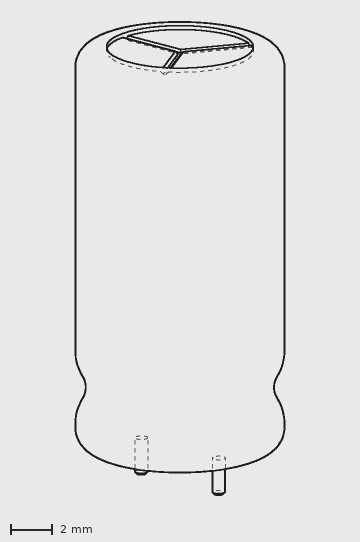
import cadquery as cq
import math

total_height = 21.8
can_diameter = 10.0
can_height = 20.0
can_radius = can_diameter / 2
lead_length = total_height - can_height

edge_radius = 1.0

crimp_height = 3.0
crimp_depth = 0.5
crimp_shoulder_radius = 2.0
crimp_neck_radius = 1.5

recess_radius = 3.5
recess_depth = 0.2
vent_count = 3
vent_top_width = 0.4
vent_floor_width = 0.13
vent_depth = 0.13
first_vent_angle = 60

lead_diameter = 0.6
lead_spacing = 5.0
lead_chamfer = 0.1


def arc_point(center, radius, angle):
    """Point on a circle in the radius-height plane, angle in radians."""
    return (center[0] + radius * math.cos(angle), center[1] + radius * math.sin(angle))


def make_can():
    """Revolve the can wall, with the crimp made of three tangent arcs."""
    radius_sum = crimp_shoulder_radius + crimp_neck_radius
    turn = math.acos(1 - crimp_depth / radius_sum)
    shoulder_offset = radius_sum * math.sin(turn)
    shoulder_x = can_radius - crimp_shoulder_radius
    lower_center = (shoulder_x, crimp_height - shoulder_offset)
    upper_center = (shoulder_x, crimp_height + shoulder_offset)

    profile = (
        cq.Workplane("XZ")
        .lineTo(can_radius, 0)
        .lineTo(*arc_point(lower_center, crimp_shoulder_radius, 0))
        .threePointArc(
            arc_point(lower_center, crimp_shoulder_radius, turn / 2),
            arc_point(lower_center, crimp_shoulder_radius, turn),
        )
        .threePointArc(
            (can_radius - crimp_depth, crimp_height),
            arc_point(upper_center, crimp_shoulder_radius, -turn),
        )
        .threePointArc(
            arc_point(upper_center, crimp_shoulder_radius, -turn / 2),
            arc_point(upper_center, crimp_shoulder_radius, 0),
        )
        .lineTo(can_radius, can_height)
        .lineTo(0, can_height)
        .close()
    )
    can = profile.revolve(360, (0, 0, 0), (0, 1, 0))
    return can.faces("<Z or >Z").edges().fillet(edge_radius)


def make_recess():
    return (
        cq.Workplane("XY", origin=(0, 0, can_height - recess_depth))
        .circle(recess_radius)
        .extrude(recess_depth)
    )


def make_vent_grooves():
    """Tapered grooves running from the center to the recess wall."""
    floor_z = can_height - recess_depth
    groove = (
        cq.Workplane("YZ", origin=(0, 0, floor_z))
        .moveTo(-vent_top_width / 2, 0)
        .lineTo(-vent_floor_width / 2, -vent_depth)
        .lineTo(vent_floor_width / 2, -vent_depth)
        .lineTo(vent_top_width / 2, 0)
        .close()
        .extrude(recess_radius)
    )
    grooves = cq.Workplane("XY")
    for index in range(vent_count):
        angle = first_vent_angle + index * 360 / vent_count
        grooves = grooves.union(groove.rotate((0, 0, 0), (0, 0, 1), angle))
    recess_bore = (
        cq.Workplane("XY", origin=(0, 0, floor_z - vent_depth))
        .circle(recess_radius)
        .extrude(vent_depth)
    )
    return grooves.intersect(recess_bore)


def make_leads():
    return (
        cq.Workplane("XY")
        .pushPoints([(-lead_spacing / 2, 0), (lead_spacing / 2, 0)])
        .circle(lead_diameter / 2)
        .extrude(-lead_length)
        .faces("<Z")
        .chamfer(lead_chamfer)
    )


result = make_can().cut(make_recess()).cut(make_vent_grooves()).union(make_leads())